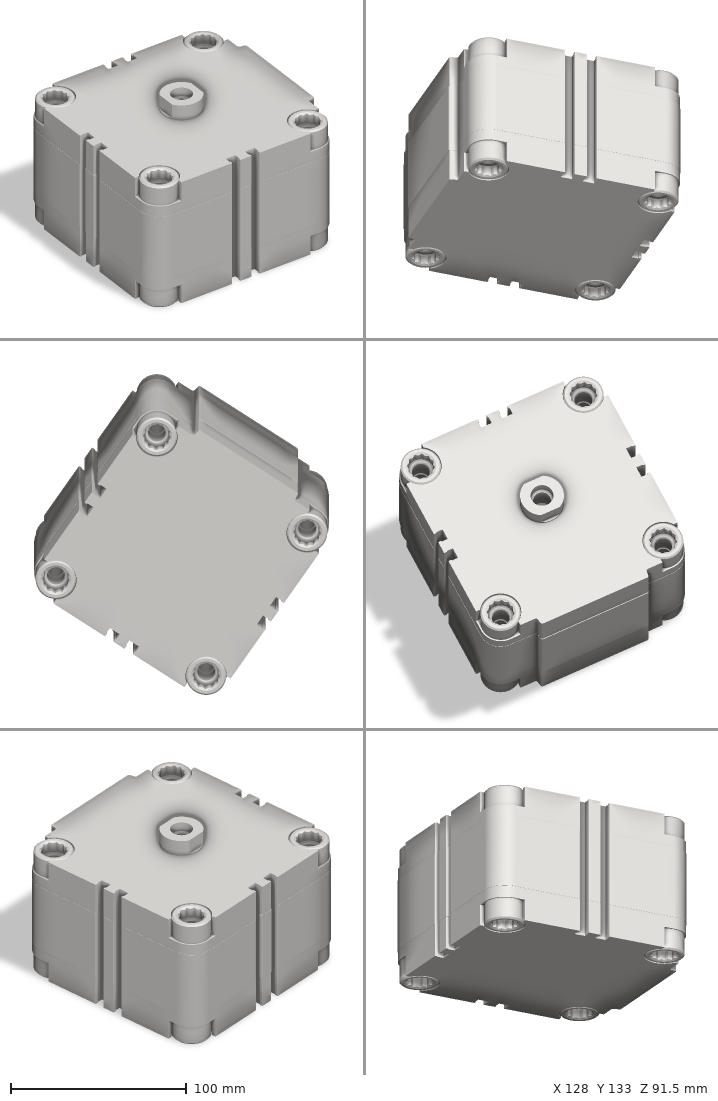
import cadquery as cq
import math

housing_height = 81.5
rod_projection = 10.0
cap_height = 19.5
barrel_height = housing_height - 2 * cap_height

half_width = 64.0
corner_radius = 12.5
lug_top = 69.0
cap_side_setback = 0.1
cap_lug_setback = 0.4

lug_top_half_width = 33.9
lug_flank_angle = 10.0
lug_fillet = 1.0

slot_offset = 6.6
slot_inner_width = 6.6
slot_mouth_width = 5.6
slot_depth = 5.9
slot_lip_height = 2.0
slot_lip_radius = 0.5
slot_rib_half_width = slot_offset - slot_mouth_width / 2
barrel_front_rib_half_width = 4.4

screw_offset = half_width - corner_radius
screw_head_diameter = 23.0
screw_head_chamfer = 0.9
recess_diameter = 23.5
recess_depth = 12.5
recess_wall = 45.0
socket_rim_diameter = 17.5
socket_rim_depth = 1.0
socket_point_diameter = 16.0
socket_star_depth = 6.0
socket_relief_diameter = 15.4
socket_floor_depth = 7.0
screw_bore_diameter = 10.1
screw_countersink_diameter = 11.5
screw_countersink_depth = 0.7
tie_hole_diameter = 8.4

rod_diameter = 25.0
rod_flat_spacing = 22.0
rod_flat_height = 9.2
rod_embedded_length = cap_height
rod_entry_diameter = 13.0
rod_entry_depth = 5.7
rod_thread_diameter = 10.1
rod_thread_depth = 20.0
rod_thread_point_angle = 120.0
rod_length = rod_embedded_length + rod_projection
rod_base = housing_height - rod_embedded_length
rod_top = housing_height + rod_projection


def corner_positions():
    """Axes of the four corner screws."""
    return [(x, y) for x in (-screw_offset, screw_offset) for y in (-screw_offset, screw_offset)]


def lug(side, top, height):
    """Raised strip from y = side up to y = top, with sloping, rounded flanks."""
    slope = math.tan(math.radians(lug_flank_angle))
    base_half_width = lug_top_half_width + (top - side) * slope
    foot_half_width = base_half_width + 2 * lug_fillet
    root = side - slot_depth
    outline = [
        (-foot_half_width, root),
        (-foot_half_width, side),
        (-base_half_width, side),
        (-lug_top_half_width, top),
        (lug_top_half_width, top),
        (base_half_width, side),
        (foot_half_width, side),
        (foot_half_width, root),
    ]
    strip = cq.Workplane("XY").polyline(outline).close().extrude(height)
    flank_edges = cq.selectors.BoxSelector(
        (-base_half_width - lug_fillet, side - lug_fillet, 0),
        (base_half_width + lug_fillet, top + lug_fillet, height),
    )
    return strip.edges("|Z").edges(flank_edges).fillet(lug_fillet)


def t_slot_pair(rib_half_width, height):
    """Two T-slots in the -Y face; rib_half_width is half the rib between their mouths."""
    mouth_outer = slot_offset + slot_mouth_width / 2
    inner_near = slot_offset - slot_inner_width / 2
    inner_far = slot_offset + slot_inner_width / 2
    face = -half_width
    lip = face + slot_lip_height
    floor = face + slot_depth
    r = slot_lip_radius
    bevel = r * (1 - math.cos(math.radians(45)))
    right_slot = (
        cq.Workplane("XY")
        .moveTo(rib_half_width - r, face)
        .threePointArc((rib_half_width - bevel, face + bevel), (rib_half_width, face + r))
        .lineTo(rib_half_width, lip)
        .lineTo(inner_near, lip)
        .lineTo(inner_near, floor)
        .lineTo(inner_far, floor)
        .lineTo(inner_far, lip)
        .lineTo(mouth_outer, lip)
        .lineTo(mouth_outer, face + r)
        .threePointArc((mouth_outer + bevel, face + bevel), (mouth_outer + r, face))
        .close()
        .extrude(height)
    )
    return right_slot.union(right_slot.mirror("YZ"))


def housing_section(setback, lug_distance, front_rib_half_width, height):
    """Prism with rounded corners, a lug on +Y and T-slots on the other three sides."""
    side = half_width - setback
    section = (
        cq.Workplane("XY")
        .rect(2 * side, 2 * side)
        .extrude(height)
        .edges("|Z")
        .fillet(corner_radius - setback)
        .union(lug(side, lug_distance, height))
        .cut(t_slot_pair(front_rib_half_width, height))
    )
    side_slots = t_slot_pair(slot_rib_half_width, height)
    for angle in (-90, 90):
        section = section.cut(side_slots.rotate((0, 0, 0), (0, 0, 1), angle))
    return section


def corner_recess():
    """Recess for the head of the +X +Y screw, open to both outer sides of the corner."""
    pocket = (
        cq.Workplane("XY")
        .center(screw_offset, screw_offset)
        .circle(recess_diameter / 2)
        .extrude(recess_depth)
    )
    opening = half_width - recess_wall
    open_corner = cq.Workplane("XY").box(opening, opening, recess_depth, centered=False)
    open_corner = open_corner.translate((recess_wall, recess_wall, 0))
    inner_square = cq.Workplane("XY").rect(2 * screw_offset, 2 * screw_offset).extrude(recess_depth)
    recess = pocket.union(open_corner.cut(inner_square))
    return recess.translate((0, 0, cap_height - recess_depth))


def screw_head():
    """Round screw head standing on the recess floor, flush with the cap."""
    head = cq.Workplane("XY").circle(screw_head_diameter / 2).extrude(recess_depth)
    head = head.faces(">Z").chamfer(screw_head_chamfer)
    return head.translate((0, 0, cap_height - recess_depth))


def cone(top, top_diameter, bottom_diameter, depth):
    """Cone on the Z axis that narrows downward from height top."""
    apex_side = cq.Vector(0, 0, -1)
    base_center = cq.Vector(0, 0, top)
    solid = cq.Solid.makeCone(top_diameter / 2, bottom_diameter / 2, depth, base_center, apex_side)
    return cq.Workplane(obj=solid)


def screw_socket():
    """Twelve-point socket, its round relief and the bore down to the foot of the cap."""
    star_floor = cap_height - socket_star_depth
    hexagon = (
        cq.Workplane("XY")
        .workplane(offset=star_floor)
        .polygon(6, socket_point_diameter)
        .extrude(socket_star_depth)
    )
    turned_hexagon = hexagon.rotate((0, 0, 0), (0, 0, 1), 30)
    relief_floor = cap_height - socket_floor_depth
    relief = (
        cq.Workplane("XY")
        .workplane(offset=relief_floor)
        .circle(socket_relief_diameter / 2)
        .extrude(socket_floor_depth - socket_star_depth)
    )
    bore = cq.Workplane("XY").circle(screw_bore_diameter / 2).extrude(cap_height)
    rim_foot_diameter = socket_point_diameter * math.cos(math.radians(30))
    rim = cone(cap_height, socket_rim_diameter, rim_foot_diameter, socket_rim_depth)
    countersink = cone(
        relief_floor, screw_countersink_diameter, screw_bore_diameter, screw_countersink_depth
    )
    return hexagon.union(turned_hexagon).union(relief).union(bore).union(rim).union(countersink)


def make_cap():
    """Upper end cap with its four corner screws, foot on z = 0."""
    cap_lug_top = lug_top - cap_lug_setback
    cap = housing_section(cap_side_setback, cap_lug_top, slot_rib_half_width, cap_height)
    recess = corner_recess()
    for angle in (0, 90, 180, 270):
        cap = cap.cut(recess.rotate((0, 0, 0), (0, 0, 1), angle))
    head = screw_head()
    socket = screw_socket()
    for x, y in corner_positions():
        cap = cap.union(head.translate((x, y, 0))).cut(socket.translate((x, y, 0)))
    return cap


def rod_cylinder():
    """Full round of the rod, which is also the shape of its seat in the housing."""
    return cq.Workplane("XY").workplane(offset=rod_base).circle(rod_diameter / 2).extrude(rod_length)


def make_housing():
    """Barrel between two mirrored end caps, with a seat for the rod in the upper cap."""
    barrel = housing_section(0, lug_top, barrel_front_rib_half_width, barrel_height)
    barrel = barrel.cut(
        cq.Workplane("XY")
        .pushPoints(corner_positions())
        .circle(tie_hole_diameter / 2)
        .extrude(barrel_height)
    )
    cap = make_cap()
    bottom_cap = cap.mirror("XY").translate((0, 0, cap_height))
    top_cap = cap.translate((0, 0, cap_height + barrel_height))
    housing = bottom_cap.union(barrel.translate((0, 0, cap_height))).union(top_cap)
    return housing.cut(rod_cylinder())


def make_rod():
    """Piston rod with two wrench flats and a threaded end hole."""
    rod = rod_cylinder()
    for side in (-1, 1):
        flat_cutter = cq.Workplane("XY").box(rod_diameter, rod_diameter, rod_flat_height)
        flat_center = side * (rod_flat_spacing + rod_diameter) / 2
        rod = rod.cut(flat_cutter.translate((0, flat_center, rod_top - rod_flat_height / 2)))
    taper = math.tan(math.radians(rod_thread_point_angle / 2))
    step_depth = (rod_entry_diameter - rod_thread_diameter) / 2 / taper
    tip_depth = rod_thread_diameter / 2 / taper
    hole_profile = [
        (0, rod_top),
        (rod_entry_diameter / 2, rod_top),
        (rod_entry_diameter / 2, rod_top - rod_entry_depth),
        (rod_thread_diameter / 2, rod_top - rod_entry_depth - step_depth),
        (rod_thread_diameter / 2, rod_top - rod_thread_depth),
        (0, rod_top - rod_thread_depth - tip_depth),
    ]
    hole = cq.Workplane("XZ").polyline(hole_profile).close().revolve(360, (0, 0, 0), (0, 1, 0))
    return rod.cut(hole)


housing = make_housing()
rod = make_rod()
result = cq.Compound.makeCompound([housing.val(), rod.val()])